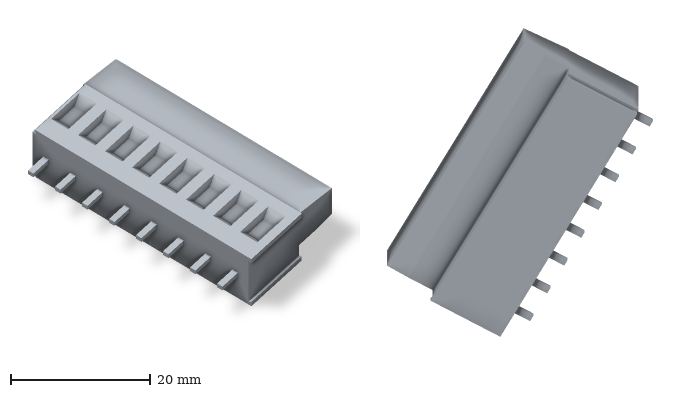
import cadquery as cq

POLE_COUNT = 8
PITCH = 5.0

BODY_LENGTH = POLE_COUNT * PITCH
BODY_DEPTH = 11.5
BODY_HEIGHT = 10.0

INTERLOCK = 0.5
DOVETAIL_WIDE_MARGIN = 0.7
DOVETAIL_NARROW_MARGIN = 0.9

NOSE_DEPTH = 7.5
NOSE_ROOT_TOP = 9.6
NOSE_TIP_TOP = 8.7
NOSE_ROOT_BOTTOM = 2.9
NOSE_TIP_BOTTOM = 3.2
NOSE_BOTTOM_TAPER = 3.5

POCKET_TOP_WIDTH = 3.2
POCKET_TOP_LENGTH = 6.5
POCKET_FLOOR_WIDTH = 2.6
POCKET_FLOOR_LENGTH = 3.5
POCKET_DEPTH = 1.4
POCKET_CENTER_Y = 6.35

PIN_LENGTH = 3.5
PIN_WIDTH = 1.0
PIN_HEIGHT = 0.8
PIN_CENTER_Z = BODY_HEIGHT / 2


def box(x_range, y_range, z_range):
    """Box spanning the given (low, high) ranges."""
    sizes = [high - low for low, high in (x_range, y_range, z_range)]
    corner = (x_range[0], y_range[0], z_range[0])
    return cq.Workplane("XY").box(*sizes, centered=False).translate(corner)


def make_dovetail(wide_x):
    """Dovetail prism along Y, wide at wide_x and narrowing over the interlock toward +X."""
    narrow_x = wide_x + INTERLOCK
    outline = [
        (wide_x, DOVETAIL_WIDE_MARGIN),
        (narrow_x, DOVETAIL_NARROW_MARGIN),
        (narrow_x, BODY_HEIGHT - DOVETAIL_NARROW_MARGIN),
        (wide_x, BODY_HEIGHT - DOVETAIL_WIDE_MARGIN),
    ]
    return cq.Workplane("XZ").polyline(outline).close().extrude(-BODY_DEPTH)


def make_body():
    """Main block with the tongue on its low X end and the groove in its high X end."""
    block = box((INTERLOCK, BODY_LENGTH + INTERLOCK), (0, BODY_DEPTH), (0, BODY_HEIGHT))
    return block.union(make_dovetail(0)).cut(make_dovetail(BODY_LENGTH))


def make_nose():
    """Tapered plug nose, an extruded YZ outline."""
    tip_y = BODY_DEPTH + NOSE_DEPTH
    outline = [
        (BODY_DEPTH, NOSE_ROOT_BOTTOM),
        (tip_y - NOSE_BOTTOM_TAPER, NOSE_ROOT_BOTTOM),
        (tip_y, NOSE_TIP_BOTTOM),
        (tip_y, NOSE_TIP_TOP),
        (BODY_DEPTH, NOSE_ROOT_TOP),
    ]
    return cq.Workplane("YZ").polyline(outline).close().extrude(BODY_LENGTH)


def make_pocket(center_x):
    """Screw pocket with four sloping walls and a flat floor."""
    return (
        cq.Workplane("XY", origin=(center_x, POCKET_CENTER_Y, BODY_HEIGHT))
        .rect(POCKET_TOP_WIDTH, POCKET_TOP_LENGTH)
        .workplane(offset=-POCKET_DEPTH)
        .rect(POCKET_FLOOR_WIDTH, POCKET_FLOOR_LENGTH)
        .loft(ruled=True)
    )


def make_pin(center_x):
    """Rectangular contact pin standing out of the Y = 0 face."""
    return box(
        (center_x - PIN_WIDTH / 2, center_x + PIN_WIDTH / 2),
        (-PIN_LENGTH, 0),
        (PIN_CENTER_Z - PIN_HEIGHT / 2, PIN_CENTER_Z + PIN_HEIGHT / 2),
    )


result = make_body().union(make_nose())
for pole in range(POLE_COUNT):
    pole_x = (pole + 0.5) * PITCH
    result = result.cut(make_pocket(pole_x)).union(make_pin(pole_x))